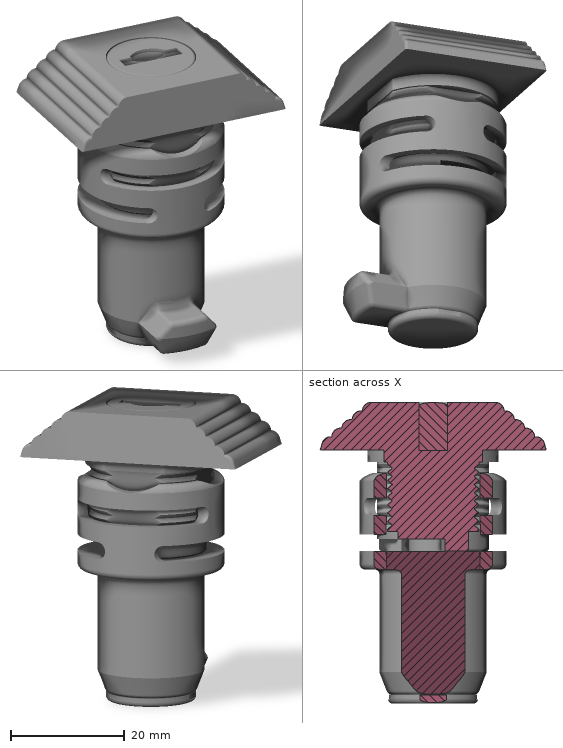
import cadquery as cq
import math


knob_top = 53.2
knob_base = 44.7
collar_base = 42.6
nut_top = 40.7
nut_shoulder_base = 39.35
upper_slot_top = 36.25
lower_slot_top = 29.85
slot_height = 3.0
thread_end = 30.35
stop_gap_top = 29.05
nut_base = 23.65
claw_top = 8.45
cone_top = 5.55
tube_base = 1.6
tube_head_top = lower_slot_top - slot_height

knob_half_length = 20.0
knob_base_half_width = 13.5
knob_top_half_width = 12.75
full_ridge_count = 4
first_ridge_y = 10.75
last_valley_y = 17.95
last_valley_z = 47.15
last_ridge_y = 19.65
last_ridge_z = 45.95
ridge_radius = 1.65
knob_corner_radius = 0.5
collar_radius = 11.6
collar_flat = 10.1
thread_crest_radius = 11.1
thread_root_radius = 10.55
thread_pitch = 1.45
first_thread_root = 41.55
stem_flat = 9.85
stop_bore_radius = 5.75
stop_chamfer = 0.3
stop_gap_start = 75.0
stop_gap_end = 195.0

nut_radius = 13.0
nut_bore_radius = 11.25
nut_edge_radius = 1.05
nut_shoulder_width = 1.6
nut_shoulder_radius = 1.85
slot_bridge_half_width = 4.6
notch_half_width = 4.95

tube_radius = 9.45
tube_end_radius = 7.95
tube_neck_radius = 0.8
tube_end_fillet = 1.0
claw_reach = 15.95
claw_base_reach = 14.25
claw_top_half_width = 3.5
claw_half_width = 6.0
claw_base_half_width = 4.45
claw_root_x = 5.3
claw_edge_radius = 0.95
claw_root_radius = 1.3
gusset_top_half_width = 3.5

core_radius = 8.0
core_top_radius = 0.6
core_end_radius = 0.9
shaft_radius = 4.25
disc_flat = 7.7
disc_flat_width = 4.05
disc_flat_base = 0.7
key_slot_width = 2.6
key_slot_length = 11.3
key_slot_depth = 0.65
keyhole_x = -1.55
keyhole_half_width = 1.7
keyhole_half_length = 3.4
keyhole_floor_x = -1.1
keyhole_floor_half_width = 0.75
keyhole_floor_half_length = 1.2
keyhole_depth = 1.85

match_tolerance = 0.005


def cylinder(radius, bottom, top):
    return cq.Workplane("XY").workplane(offset=bottom).circle(radius).extrude(top - bottom)


def block(x_size, y_size, bottom, top):
    return cq.Workplane("XY").workplane(offset=bottom).rect(x_size, y_size).extrude(top - bottom)


def turned(outline):
    """Revolve an outline of (radius, height) points around the axis."""
    return cq.Workplane("XZ").polyline(outline).close().revolve(360, (0, 0, 0), (0, 1, 0))



def ridged_handle():
    """Ridged profile along Y, with sides that lean inward toward the top."""
    profile = cq.Workplane("YZ").moveTo(-first_ridge_y, knob_top).lineTo(first_ridge_y, knob_top)
    step_y = (last_valley_y - first_ridge_y) / full_ridge_count
    step_z = (knob_top - last_valley_z) / full_ridge_count
    ridge_ends = [
        (first_ridge_y + i * step_y, knob_top - i * step_z) for i in range(full_ridge_count + 1)
    ]
    ridge_ends.append((last_ridge_y, last_ridge_z))
    for end in ridge_ends[1:]:
        profile = profile.radiusArc(end, ridge_radius)
    profile = profile.lineTo(knob_half_length, knob_base).lineTo(-knob_half_length, knob_base)
    profile = profile.lineTo(-last_ridge_y, last_ridge_z)
    for y, z in reversed(ridge_ends[:-1]):
        profile = profile.radiusArc((-y, z), ridge_radius)
    ridges = profile.close().extrude(knob_base_half_width, both=True)

    leaning_sides = (
        cq.Workplane("XZ")
        .polyline([
            (-knob_base_half_width, knob_base),
            (knob_base_half_width, knob_base),
            (knob_top_half_width, knob_top),
            (-knob_top_half_width, knob_top),
        ])
        .close()
        .extrude(knob_half_length, both=True)
    )
    return round_end_corners(ridges.intersect(leaning_sides))


def round_end_corners(handle):
    """Round the four corners where the end faces and lowest ridges meet the sides."""
    corner_edges = [
        edge for edge in handle.edges().vals()
        if abs(edge.Center().y) > last_valley_y
        and knob_base < edge.Center().z < last_valley_z
        and abs(edge.Center().x) > knob_top_half_width
    ]
    return handle.newObject(corner_edges).fillet(knob_corner_radius)


def collar():
    disc = cylinder(collar_radius, collar_base, knob_base)
    return disc.intersect(block(2 * collar_flat, 2 * collar_radius, collar_base, knob_base))


def threaded_stem():
    """Stem with ring-shaped thread grooves and four flats."""
    stem = cylinder(thread_crest_radius, thread_end, collar_base)
    groove_count = int((first_thread_root - thread_end) / thread_pitch) + 1
    groove_depth = thread_crest_radius - thread_root_radius
    for i in range(groove_count):
        root_z = first_thread_root - i * thread_pitch
        groove = turned([
            (thread_root_radius, root_z),
            (thread_crest_radius + groove_depth, root_z + thread_pitch),
            (thread_crest_radius + groove_depth, root_z - thread_pitch),
        ])
        stem = stem.cut(groove)
    return stem.intersect(block(2 * stem_flat, 2 * stem_flat, thread_end, collar_base))


def stop_ring():
    """Ring below the thread, open over a sector that limits the turn."""
    ring = cylinder(stem_flat, tube_head_top, thread_end).faces("<Z").edges().chamfer(stop_chamfer)
    ring = ring.cut(cylinder(stop_bore_radius, tube_head_top, stop_gap_top))
    gap_reach = 3 * stem_flat
    gap_corners = [(0, 0)]
    for angle in (stop_gap_start, (stop_gap_start + stop_gap_end) / 2, stop_gap_end):
        turn = math.radians(angle)
        gap_corners.append((gap_reach * math.cos(turn), gap_reach * math.sin(turn)))
    gap = (
        cq.Workplane("XY").workplane(offset=tube_head_top)
        .polyline(gap_corners).close().extrude(stop_gap_top - tube_head_top)
    )
    return ring.cut(gap)


def make_knob():
    knob = ridged_handle().union(collar()).union(threaded_stem()).union(stop_ring())
    knob = knob.cut(cylinder(core_radius, knob_base, knob_top))
    return knob.cut(cylinder(shaft_radius, tube_head_top, knob_base))



def slot_pair(plane, top):
    """Two slots with round inner ends, one on each side of a central bridge."""
    slot_length = 2 * nut_radius
    slot_offset = slot_bridge_half_width + slot_length / 2
    return (
        cq.Workplane(plane)
        .pushPoints([(side * slot_offset, top - slot_height / 2) for side in (-1, 1)])
        .slot2D(slot_length, slot_height)
        .extrude(nut_radius, both=True)
    )


def top_notch(plane):
    """Shallow round-bottomed notch across the top of the nut."""
    depth = nut_top - nut_shoulder_base
    radius = (notch_half_width**2 + depth**2) / (2 * depth)
    return (
        cq.Workplane(plane)
        .center(0, nut_shoulder_base + radius)
        .circle(radius)
        .extrude(nut_radius, both=True)
    )


def make_nut():
    nut = (
        cq.Workplane("XZ")
        .moveTo(0, nut_base)
        .lineTo(nut_radius, nut_base)
        .lineTo(nut_radius, nut_shoulder_base)
        .radiusArc((nut_radius - nut_shoulder_width, nut_top), -nut_shoulder_radius)
        .lineTo(0, nut_top)
        .close()
        .revolve(360, (0, 0, 0), (0, 1, 0))
    )
    nut = nut.faces("<Z").edges().fillet(nut_edge_radius)
    nut = nut.cut(cylinder(nut_bore_radius, nut_base, nut_top))
    nut = nut.cut(slot_pair("XZ", upper_slot_top)).cut(slot_pair("YZ", lower_slot_top))
    for plane in ("XZ", "YZ"):
        nut = nut.cut(top_notch(plane))
    return nut



def tube_body():
    """Flanged tube with a filleted neck and a conical lower end."""
    neck_z = nut_base - tube_neck_radius
    slant = tube_neck_radius * (1 - math.sqrt(0.5))
    body = (
        cq.Workplane("XZ")
        .moveTo(0, tube_base)
        .lineTo(tube_end_radius, tube_base)
        .lineTo(tube_radius, cone_top)
        .lineTo(tube_radius, neck_z)
        .threePointArc((tube_radius + slant, nut_base - slant), (tube_radius + tube_neck_radius, nut_base))
        .lineTo(nut_bore_radius, nut_base)
        .lineTo(nut_bore_radius, tube_head_top)
        .lineTo(0, tube_head_top)
        .close()
        .revolve(360, (0, 0, 0), (0, 1, 0))
    )
    return body.faces("<Z").edges().fillet(tube_end_fillet)


def claw():
    """Six-sided bar along X whose tip is turned about the lock axis."""
    bar = (
        cq.Workplane("YZ").workplane(offset=claw_root_x)
        .polyline([
            (-claw_base_half_width, tube_base),
            (claw_base_half_width, tube_base),
            (claw_half_width, cone_top),
            (claw_top_half_width, claw_top),
            (-claw_top_half_width, claw_top),
            (-claw_half_width, cone_top),
        ])
        .close()
        .extrude(claw_reach)
    )
    tip = turned([
        (0, tube_base),
        (claw_base_reach, tube_base),
        (claw_reach, cone_top),
        (claw_reach, claw_top),
        (0, claw_top),
    ])
    shaped = bar.intersect(tip)
    sharp_edges = [
        edge for edge in shaped.edges().vals()
        if edge.Center().x > claw_root_x + claw_edge_radius
        and abs(edge.Center().z - cone_top) > claw_edge_radius
    ]
    return shaped.newObject(sharp_edges).fillet(claw_edge_radius)


def claw_gusset():
    """Concave rounding between claw and tube that tapers to nothing at the widest line of the claw."""
    side_slope = (claw_half_width - claw_top_half_width) / (claw_top - cone_top)
    gusset_top = claw_top + claw_root_radius
    stub_base = cone_top - claw_root_radius
    stub_base_half_width = claw_half_width + side_slope * (cone_top - stub_base)
    stub = (
        cq.Workplane("YZ")
        .polyline([
            (-stub_base_half_width, stub_base),
            (stub_base_half_width, stub_base),
            (claw_top_half_width, claw_top),
            (-claw_top_half_width, claw_top),
        ])
        .close()
        .extrude(claw_reach)
        .faces(">Z").edges("|X").fillet(claw_edge_radius)
    )
    post = cylinder(tube_radius, stub_base, gusset_top + claw_root_radius)
    joined = post.union(stub)
    root_edges = [
        edge for edge in joined.edges().vals()
        if abs(math.hypot(edge.startPoint().x, edge.startPoint().y) - tube_radius) < match_tolerance
        and abs(math.hypot(edge.endPoint().x, edge.endPoint().y) - tube_radius) < match_tolerance
        and edge.Center().x > claw_root_x
        and stub_base < edge.Center().z < gusset_top
    ]
    rounded = joined.newObject(root_edges).fillet(claw_root_radius)
    wedge = (
        cq.Workplane("YZ").workplane(offset=claw_root_x)
        .polyline([
            (-claw_half_width, cone_top),
            (claw_half_width, cone_top),
            (gusset_top_half_width, gusset_top),
            (-gusset_top_half_width, gusset_top),
        ])
        .close()
        .extrude(tube_radius + claw_root_radius - claw_root_x)
    )
    return rounded.intersect(wedge)


def make_claw_tube():
    tube = tube_body().union(claw()).union(claw_gusset())
    return tube.cut(cylinder(shaft_radius, tube_base, tube_head_top))



def lens(half_width, half_length, x, z):
    """Pointed oval, long in Y."""
    return (
        cq.Workplane("XY").workplane(offset=z).moveTo(x, -half_length)
        .threePointArc((x + half_width, 0), (x, half_length))
        .threePointArc((x - half_width, 0), (x, -half_length))
        .close()
    )


def keyhole():
    """Oval opening that narrows to a small oval floor."""
    slot_floor = knob_top - key_slot_depth
    opening = lens(keyhole_half_width, keyhole_half_length, keyhole_x, slot_floor).extrude(key_slot_depth)
    upper_wire = lens(keyhole_half_width, keyhole_half_length, keyhole_x, slot_floor).val()
    lower_wire = lens(
        keyhole_floor_half_width, keyhole_floor_half_length, keyhole_floor_x, knob_top - keyhole_depth
    ).val()
    funnel = cq.Workplane(cq.Solid.makeLoft([lower_wire, upper_wire], True))
    return opening.union(funnel)


def end_disc():
    disc = cylinder(core_radius, 0, tube_base).faces("<Z").edges().fillet(core_end_radius)
    for side in (-1, 1):
        flat = block(disc_flat_width, core_radius, disc_flat_base, tube_base)
        disc = disc.cut(flat.translate((0, side * (disc_flat + core_radius / 2), 0)))
    return disc


def make_lock_core():
    plug = cylinder(core_radius, knob_base, knob_top).faces(">Z").edges().fillet(core_top_radius)
    plug = plug.cut(block(key_slot_width, key_slot_length, knob_top - key_slot_depth, knob_top))
    plug = plug.cut(keyhole())
    return plug.union(cylinder(shaft_radius, tube_base, knob_base)).union(end_disc())


knob = make_knob()
nut = make_nut()
claw_tube = make_claw_tube()
lock_core = make_lock_core()

result = cq.Compound.makeCompound([knob.val(), nut.val(), claw_tube.val(), lock_core.val()])